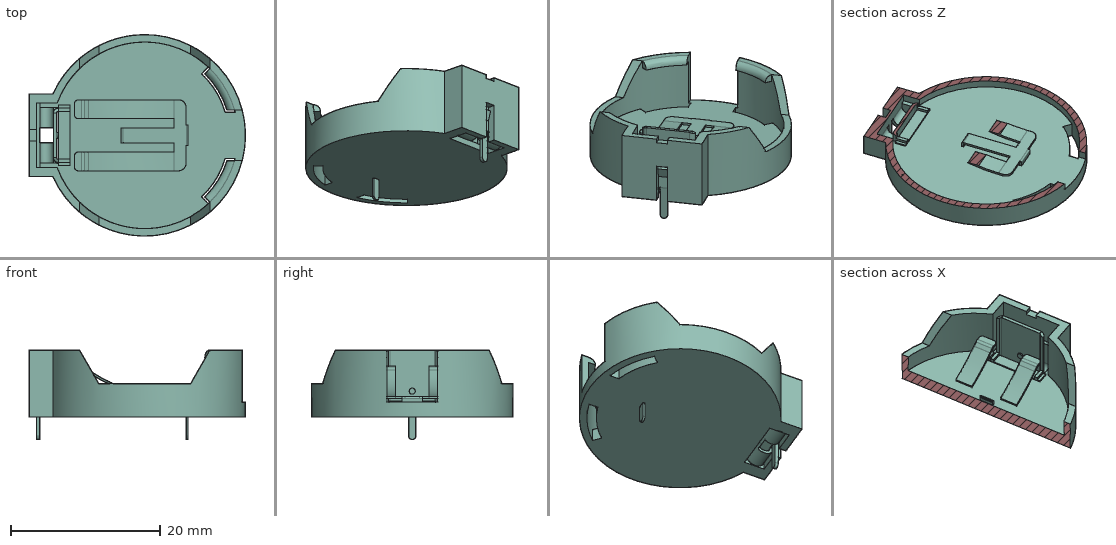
import cadquery as cq
import math


cup_diameter = 27.0
cup_radius = cup_diameter / 2
cup_inner_radius = 12.5
wall = cup_radius - cup_inner_radius
height = 9.0
rim_height = 4.5
floor_top = 2.0
length = 29.0
left_end = cup_radius - length

dip_half_bottom = 6.15
dip_half_top = 8.73

opening_half_width = 3.4

box_half_width = 5.55
cavity_half_width = 4.32
cavity_left = left_end + wall
shaft_right = -11.57
shaft_half_width = 3.7
notch_width = 1.5
notch_depth = 0.52
latch_slot_height = 5.0

hook_radius = 1.0
hook_end_angle = math.degrees(math.acos(dip_half_top / cup_inner_radius))
hook_clearance = 0.3

pin_width = 1.0
pin_length = 3.02
pin_bottom = -pin_length

side_sheet = 0.45
bend_inner = 0.9
bend_outer = bend_inner + side_sheet
bend_x = cavity_left + bend_outer
bend_z = 1.48
window_half_width = 1.0
corner_radius = 0.67
corner_drop = 0.3
foot_right = -10.03
foot_half_width = 4.05
foot_thickness = 0.17
flange_outer = 3.65
flange_height = 0.35
nub_radius = 0.4
nub_z = 3.48
barb_bottom = 3.05
barb_full = 4.35
barb_top = 4.55
barb_reach = 0.35
barb_recess = 0.1

spring_sheet = 0.3
spring_lift = 0.45
spring_bottom = floor_top + spring_lift
spring_top = spring_bottom + spring_sheet
base_left = 3.95
base_right = 5.55
base_corner = 1.02
tongue_left = -3.15
tongue_width = 2.0
tab_width = 2.78
fold_radius = 0.25
arm_outer = 4.75
arm_inner = 2.23
arm_bend_end = -7.6
arm_straight_end = -8.12
arm_crest_end = -8.47
arm_tip = -9.4
arm_angle = 34.6
tip_corner = 0.5


def block(x0, x1, half_width, z0, z1):
    """Box centred on the XZ plane."""
    return cq.Workplane("XY").box(
        x1 - x0, 2 * half_width, z1 - z0, centered=(False, True, False)
    ).translate((x0, 0, z0))


def extrude_y(profile, half_width):
    """Extrude an XZ outline equally to both sides of the XZ plane."""
    return profile.close().extrude(half_width, both=True)


def make_housing():
    body = cq.Workplane("XY").circle(cup_radius).extrude(height)
    body = body.union(block(left_end, shaft_right, box_half_width, 0, height))
    cell_space = cq.Workplane("XY", origin=(0, 0, floor_top)).circle(cup_inner_radius).extrude(height)
    body = body.cut(cell_space)
    body = body.cut(block(cavity_left, shaft_right, cavity_half_width, floor_top, height))
    body = body.cut(block(cavity_left, shaft_right, shaft_half_width, 0, height))

    dip = cq.Workplane("XZ").polyline([
        (-dip_half_bottom, rim_height),
        (dip_half_bottom, rim_height),
        (dip_half_top, height),
        (-dip_half_top, height),
    ])
    body = body.cut(extrude_y(dip, cup_radius))
    body = body.cut(block(0, cup_radius, opening_half_width, floor_top, height))

    half_notch = notch_width / 2
    body = body.cut(block(left_end, cavity_left, half_notch, height - notch_depth, height))
    return body.cut(block(left_end, cavity_left, half_notch, 0, latch_slot_height))


def hook_sector(clearance):
    """Prism covering one hook in plan, its two end planes moved out by a clearance."""
    angle = math.radians(hook_end_angle)
    y0 = opening_half_width - clearance

    def x_on_end_plane(y):
        return (y * math.cos(angle) - clearance) / math.sin(angle)

    outline = [
        (x_on_end_plane(y0), y0),
        (cup_radius, y0),
        (cup_radius, cup_radius),
        (x_on_end_plane(cup_radius), cup_radius),
    ]
    return cq.Workplane("XY").polyline(outline).close().extrude(height)


def make_hook():
    """Quarter-round lip along the inside of the cup wall."""
    diagonal = hook_radius * math.sqrt(0.5)
    bottom = height - hook_radius
    buried = cup_inner_radius + wall / 2
    lip = (
        cq.Workplane("XZ")
        .moveTo(cup_inner_radius - hook_radius, bottom)
        .threePointArc(
            (cup_inner_radius - diagonal, bottom + diagonal),
            (cup_inner_radius, height),
        )
        .lineTo(buried, height)
        .lineTo(buried, bottom)
        .close()
        .revolve(360, (0, 0, 0), (0, 1, 0))
    )
    return lip.intersect(hook_sector(0))


def make_hook_slot():
    ring = (
        cq.Workplane("XY")
        .circle(cup_inner_radius)
        .circle(cup_inner_radius - hook_radius - hook_clearance)
        .extrude(floor_top)
    )
    return ring.intersect(hook_sector(hook_clearance))


def make_pin(x0, thickness, top):
    """Flat solder pin with a fully rounded lower end."""
    radius = pin_width / 2
    return (
        cq.Workplane("YZ", origin=(x0, 0, 0))
        .moveTo(-radius, top)
        .lineTo(-radius, pin_bottom + radius)
        .threePointArc((0, pin_bottom), (radius, pin_bottom + radius))
        .lineTo(radius, top)
        .close()
        .extrude(thickness)
    )


def make_side_contact():
    plate_right = bend_x + bend_outer
    plate_left = bend_x + bend_inner

    bend = (
        cq.Workplane("XZ", origin=(bend_x, 0, bend_z))
        .circle(bend_outer)
        .circle(bend_inner)
        .extrude(shaft_half_width, both=True)
        .intersect(block(cavity_left, plate_right, shaft_half_width, 0, bend_z))
        .cut(block(cavity_left, plate_left, window_half_width, 0, bend_z))
    )
    rear_leg = block(
        cavity_left, cavity_left + side_sheet, shaft_half_width, bend_z, latch_slot_height
    ).union(block(
        cavity_left, cavity_left + side_sheet, cavity_half_width, floor_top, latch_slot_height
    ))

    plate = block(plate_left, foot_right, flange_outer, bend_z, height)
    plate = plate.edges("|Z and <X").fillet(corner_radius)
    hollow = block(plate_right, foot_right, flange_outer - side_sheet, bend_z, height)
    hollow = hollow.edges("|Z and <X").fillet(corner_radius - side_sheet)
    plate = plate.cut(hollow)
    flange_top = floor_top + foot_thickness + flange_height
    plate = plate.cut(block(shaft_right, foot_right, flange_outer, flange_top, height))

    bend_start = flange_outer - corner_radius
    falloff = (
        cq.Workplane("YZ", origin=(plate_left, 0, 0))
        .polyline([
            (bend_start, height),
            (flange_outer, height - corner_drop),
            (flange_outer, height),
        ])
        .close()
        .extrude(foot_right - plate_left)
    )
    plate = plate.cut(falloff).cut(falloff.mirror("XZ"))

    foot = block(shaft_right, foot_right, foot_half_width, floor_top, floor_top + foot_thickness)
    nub = (
        cq.Workplane("YZ", origin=(plate_right, 0, nub_z))
        .circle(nub_radius)
        .extrude(shaft_right - plate_right)
    )

    recess = cq.Workplane("XZ").polyline([
        (cavity_left, bend_z),
        (cavity_left + barb_recess, barb_bottom),
        (cavity_left, barb_full),
    ])
    rear_leg = rear_leg.cut(extrude_y(recess, notch_width / 2))
    barb = cq.Workplane("XZ").polyline([
        (cavity_left + barb_recess, barb_bottom),
        (cavity_left - barb_reach, barb_full),
        (cavity_left, barb_top),
        (cavity_left + barb_recess, barb_top),
    ])
    barb = extrude_y(barb, notch_width / 2)

    contact = make_pin(cavity_left, side_sheet, bend_z)
    for piece in (bend, rear_leg, plate, foot, nub, barb):
        contact = contact.union(piece)
    return contact


def make_arm():
    """Spring arm on the +Y side, curving up toward the terminal box to a flat tip."""
    slope = math.tan(math.radians(arm_angle))
    chord_slope = math.tan(math.radians(arm_angle / 2))
    bend_run = base_left - arm_bend_end
    straight_run = arm_bend_end - arm_straight_end
    crest_run = arm_straight_end - arm_crest_end
    start = base_right - base_corner
    mid_height = spring_bottom + spring_sheet / 2
    path = (
        cq.Workplane("XZ")
        .moveTo(start, mid_height)
        .hLineTo(base_left)
        .tangentArcPoint((-bend_run, bend_run * chord_slope))
        .line(-straight_run, straight_run * slope)
        .tangentArcPoint((-crest_run, crest_run * chord_slope))
        .hLineTo(arm_tip)
    )
    arm = (
        cq.Workplane("YZ", origin=(start, 0, mid_height))
        .rect(arm_outer - arm_inner, spring_sheet)
        .sweep(path)
    )
    arm = arm.faces("<X").edges("|Z").fillet(tip_corner)
    return arm.translate((0, (arm_outer + arm_inner) / 2, 0))


def make_spring():
    base = block(base_left, base_right, arm_outer, spring_bottom, spring_top)
    base = base.edges("|Z and >X").fillet(base_corner)

    tongue = block(tongue_left, base_left, tongue_width / 2, floor_top, spring_top)
    tongue = tongue.edges("|Y and <X and >Z").fillet(fold_radius)
    tongue = tongue.cut(
        block(tongue_left + spring_sheet, base_left, tongue_width / 2, floor_top, spring_bottom)
    )
    tab = block(base_right, base_right + spring_sheet, tab_width / 2, floor_top, spring_top)
    tab = tab.edges("|Y and >X and >Z").fillet(fold_radius)
    arm = make_arm()

    spring = make_pin(base_right, spring_sheet, floor_top)
    for piece in (base, tongue, tab, arm, arm.mirror("XZ")):
        spring = spring.union(piece)
    return spring


housing = make_housing()
hook = make_hook()
hook_slot = make_hook_slot()
for slot in (hook_slot, hook_slot.mirror("XZ")):
    housing = housing.cut(slot)
for lip in (hook, hook.mirror("XZ")):
    housing = housing.union(lip)

result = housing.union(make_side_contact()).union(make_spring())